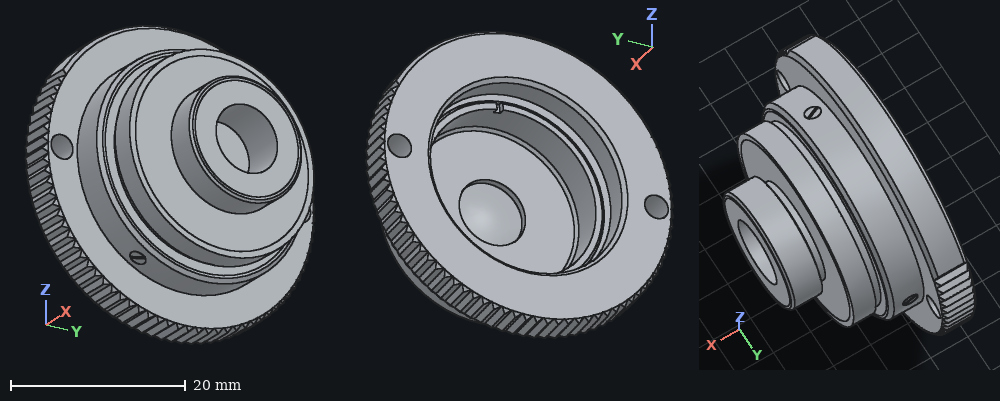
import cadquery as cq
import math


FLANGE_RADIUS = 37.5 / 2
FLANGE_THICKNESS = 4.5
FLANGE_CHAMFER = 0.5
BARREL_RADIUS = 14.25
BARREL_END = 9.0
BARREL_CHAMFER = 0.5
LIP_BORE_RADIUS = 12.2
LIP_CHAMFER = 0.5
LIP_END = 3.45
SPANNER_HOLE_DIAMETER = 3.0
SPANNER_HOLE_OFFSET = 16.35

KNURL_SPAN = 240.0
KNURL_NOTCHES = 57
KNURL_PITCH = KNURL_SPAN / KNURL_NOTCHES
KNURL_FIRST_ANGLE = 90.0 + (360.0 - KNURL_SPAN) / 2
KNURL_ROOT_RADIUS = 18.2

ADAPTER_SEAT_RADIUS = 13.4
ADAPTER_START = 4.55
ADAPTER_RELIEF_RADIUS = 12.15
RIM_RADIUS = 12.7
RIM_START = 10.0
RIM_END = 13.0

HOLDER_RADIUS = 11.9
HOLDER_START = 4.45
HOLDER_CHAMFER = 0.3
CUP_RADIUS = 10.8
CUP_FLOOR_RADIUS = 10.45
CUP_FLOOR = 9.4
CUP_TAPER_LENGTH = 0.45
NECK_RADIUS = 6.5
NECK_END = 13.9
STUB_RADIUS = 7.1
STUB_CHAMFER = 0.25
SLOT_WIDTH = 0.8
SLOT_DEPTH = 0.85
HOLDER_TURN = 7.3

LENS_RADIUS = 4.22
LENS_RIM = 10.3
LENS_EDGE_THICKNESS = 2.0
LENS_SPHERE_RADIUS = 8.5
CAP_RADIUS = 7.73
CAP_START = NECK_END + STUB_CHAMFER
CAP_END = 18.14
CAP_CHAMFER = 0.3

SCREW_COUNT = 3
SCREW_RADIUS = 1.0
SCREW_X = 6.3
SCREW_HEAD_RADIUS = 14.2
SCREW_SLOT_WIDTH = 0.25
SCREW_SLOT_DEPTH = 0.3
SCREW_SLOT_TILT = 30.0


def revolved(points):
    """Turn a closed (x, radius) outline around the X axis."""
    return cq.Workplane("XY").polyline(points).close().revolve(360, (0, 0, 0), (1, 0, 0))


def about_axis(body, angle):
    """Turn a body around the X axis; positive angles go from +Y toward +Z."""
    return body.rotate((0, 0, 0), (1, 0, 0), angle)


def radial_cylinder(radius, inner, outer):
    """Cylinder along +Y at the set screw position, between two distances from the axis."""
    plane = cq.Plane(origin=(SCREW_X, inner, 0), xDir=(1, 0, 0), normal=(0, 1, 0))
    return cq.Workplane(plane).circle(radius).extrude(outer - inner)


def screw_angles():
    return [index * 360.0 / SCREW_COUNT for index in range(SCREW_COUNT)]


def knurl_notches():
    half_angle = math.radians(KNURL_PITCH / 2)
    ridge_y = FLANGE_RADIUS * math.cos(half_angle)
    ridge_z = FLANGE_RADIUS * math.sin(half_angle)
    reach = 1.5
    tip_y = KNURL_ROOT_RADIUS + reach * (ridge_y - KNURL_ROOT_RADIUS)
    notch = (
        cq.Workplane("YZ")
        .polyline([(KNURL_ROOT_RADIUS, 0), (tip_y, -reach * ridge_z), (tip_y, reach * ridge_z)])
        .close()
        .extrude(FLANGE_THICKNESS)
    )
    return [
        about_axis(notch, KNURL_FIRST_ANGLE + index * KNURL_PITCH).val()
        for index in range(KNURL_NOTCHES)
    ]


def make_housing():
    chamfer_radius = FLANGE_RADIUS - FLANGE_CHAMFER
    body = revolved([
        (0, LIP_BORE_RADIUS + LIP_CHAMFER),
        (0, chamfer_radius),
        (FLANGE_CHAMFER, FLANGE_RADIUS),
        (FLANGE_THICKNESS - FLANGE_CHAMFER, FLANGE_RADIUS),
        (FLANGE_THICKNESS, chamfer_radius),
        (FLANGE_THICKNESS, BARREL_RADIUS),
        (BARREL_END - BARREL_CHAMFER, BARREL_RADIUS),
        (BARREL_END, BARREL_RADIUS - BARREL_CHAMFER),
        (BARREL_END, ADAPTER_SEAT_RADIUS),
        (LIP_END, ADAPTER_SEAT_RADIUS),
        (LIP_END, LIP_BORE_RADIUS),
        (LIP_CHAMFER, LIP_BORE_RADIUS),
    ])
    spanner_holes = (
        cq.Workplane("YZ")
        .pushPoints([(-SPANNER_HOLE_OFFSET, 0), (SPANNER_HOLE_OFFSET, 0)])
        .circle(SPANNER_HOLE_DIAMETER / 2)
        .extrude(FLANGE_THICKNESS)
    )
    body = body.cut(spanner_holes)
    screw_hole = radial_cylinder(SCREW_RADIUS, LIP_BORE_RADIUS, FLANGE_RADIUS)
    for angle in screw_angles():
        body = body.cut(about_axis(screw_hole, angle))
    for notch in knurl_notches():
        body = body.cut(cq.Workplane(notch))
    return body


def make_adapter():
    return revolved([
        (ADAPTER_START, HOLDER_RADIUS),
        (ADAPTER_START, ADAPTER_SEAT_RADIUS),
        (BARREL_END, ADAPTER_SEAT_RADIUS),
        (BARREL_END, ADAPTER_RELIEF_RADIUS),
        (RIM_START, ADAPTER_RELIEF_RADIUS),
        (RIM_START, RIM_RADIUS),
        (RIM_END, RIM_RADIUS),
        (RIM_END, HOLDER_RADIUS),
    ])


def make_lens_holder():
    body = revolved([
        (HOLDER_START, CUP_RADIUS),
        (HOLDER_START, HOLDER_RADIUS - HOLDER_CHAMFER),
        (HOLDER_START + HOLDER_CHAMFER, HOLDER_RADIUS),
        (RIM_END, HOLDER_RADIUS),
        (RIM_END, NECK_RADIUS),
        (NECK_END, NECK_RADIUS),
        (NECK_END, STUB_RADIUS - STUB_CHAMFER),
        (CAP_START, STUB_RADIUS),
        (CAP_END, STUB_RADIUS),
        (CAP_END, LENS_RADIUS),
        (CUP_FLOOR, LENS_RADIUS),
        (CUP_FLOOR, CUP_FLOOR_RADIUS),
        (CUP_FLOOR - CUP_TAPER_LENGTH, CUP_RADIUS),
    ])
    spanner_slots = cq.Workplane("XY").box(
        SLOT_DEPTH, SLOT_WIDTH, 2 * HOLDER_RADIUS, centered=(False, True, True)
    )
    body = body.cut(spanner_slots.translate((HOLDER_START, 0, 0)))
    return about_axis(body, -HOLDER_TURN)


def make_lens():
    sagitta = LENS_SPHERE_RADIUS - math.sqrt(LENS_SPHERE_RADIUS**2 - LENS_RADIUS**2)
    half_angle = math.asin(LENS_RADIUS / LENS_SPHERE_RADIUS) / 2
    apex_x = LENS_RIM - sagitta
    arc_middle = (
        apex_x + LENS_SPHERE_RADIUS * (1 - math.cos(half_angle)),
        LENS_SPHERE_RADIUS * math.sin(half_angle),
    )
    back_x = LENS_RIM + LENS_EDGE_THICKNESS
    return (
        cq.Workplane("XY")
        .moveTo(apex_x, 0)
        .threePointArc(arc_middle, (LENS_RIM, LENS_RADIUS))
        .lineTo(back_x, LENS_RADIUS)
        .lineTo(back_x, 0)
        .close()
        .revolve(360, (0, 0, 0), (1, 0, 0))
    )


def make_end_cap():
    return revolved([
        (CAP_START, STUB_RADIUS),
        (CAP_START, CAP_RADIUS),
        (CAP_END - CAP_CHAMFER, CAP_RADIUS),
        (CAP_END, CAP_RADIUS - CAP_CHAMFER),
        (CAP_END, STUB_RADIUS),
    ])


def make_set_screw(angle, tilt):
    body = radial_cylinder(SCREW_RADIUS, ADAPTER_SEAT_RADIUS, SCREW_HEAD_RADIUS)
    slot = (
        cq.Workplane("XY")
        .box(2 * SCREW_RADIUS, 2 * SCREW_SLOT_DEPTH, SCREW_SLOT_WIDTH)
        .rotate((0, 0, 0), (0, 1, 0), tilt)
        .translate((SCREW_X, SCREW_HEAD_RADIUS, 0))
    )
    return about_axis(body.cut(slot), angle)


housing = make_housing()
adapter = make_adapter()
lens_holder = make_lens_holder()
lens = make_lens()
end_cap = make_end_cap()
set_screws = [
    make_set_screw(angle, SCREW_SLOT_TILT if angle < 180 else -SCREW_SLOT_TILT)
    for angle in screw_angles()
]

result = cq.Compound.makeCompound([
    housing.val(),
    adapter.val(),
    lens_holder.val(),
    lens.val(),
    end_cap.val(),
    *[screw.val() for screw in set_screws],
])